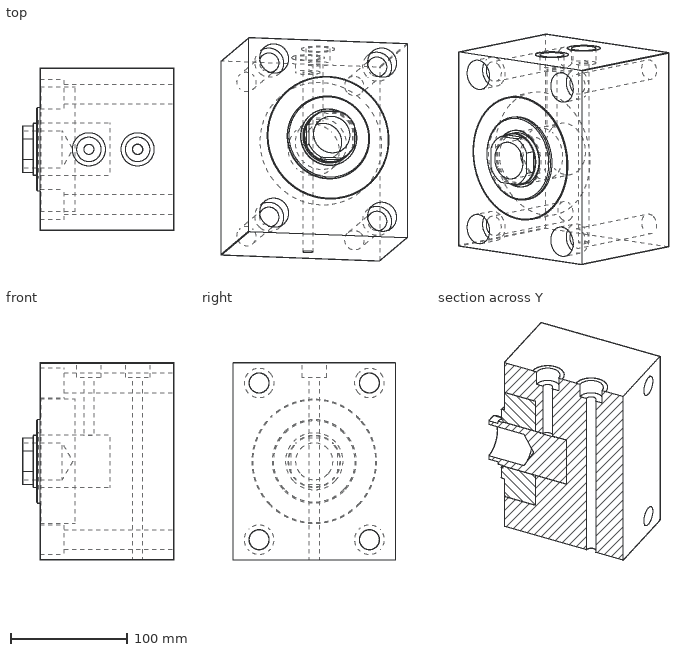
import cadquery as cq

BLOCK_LENGTH = 115.1
BLOCK_WIDTH = 140.0
BLOCK_HEIGHT = 170.0
BLOCK_CHAMFER = 0.5

BOLT_SPACING_Y = 95.0
BOLT_SPACING_Z = 135.0
BOLT_DIAMETER = 17.0
BOLT_HEAD_DIAMETER = 25.5
BOLT_HEAD_DEPTH = 20.4

FRONT_PORT_X = 42.0
REAR_PORT_X = 84.0
PORT_FACE_DIAMETER = 28.5
PORT_FACE_DEPTH = 0.2
PORT_THREAD_DIAMETER = 21.0
PORT_THREAD_DEPTH = 13.0
PORT_DRILL_DIAMETER = 8.7

GLAND_DIAMETER = 107.3
GLAND_DEPTH = 30.0
GLAND_CHAMFER = 0.7
BOSS_DIAMETER = 72.2
BOSS_HEIGHT = 3.0
BOSS_CHAMFER = 1.0
WIPER_DIAMETER = 49.3
WIPER_DEPTH = 1.7

ROD_DIAMETER = 45.0
ROD_PROJECTION = 15.0
ROD_INSIDE_LENGTH = 60.0
ROD_STEP_CHAMFER = 0.5
FLATS_LENGTH = 8.8
FLATS_WIDTH = 40.3
ROD_HOLE_DIAMETER = 32.0
ROD_HOLE_DEPTH = 34.0
ROD_HOLE_TIP_LENGTH = 9.2


def x_cylinder(diameter, x_start, x_end):
    """Cylinder on the main axis between two X positions."""
    return cq.Workplane("YZ", origin=(x_start, 0, 0)).circle(diameter / 2).extrude(x_end - x_start)


def top_hole(x, diameter, depth):
    """Cutter for a vertical hole sunk from the top face."""
    top = cq.Workplane("XY", origin=(x, 0, BLOCK_HEIGHT / 2))
    return top.circle(diameter / 2).extrude(-depth)


def bolt_cutter(diameter, depth):
    """Cutter for the four mounting holes, sunk from the front face."""
    front = cq.Workplane("YZ").rect(BOLT_SPACING_Y, BOLT_SPACING_Z, forConstruction=True)
    return front.vertices().circle(diameter / 2).extrude(depth)


def port_cutter(x, drill_depth):
    """Spot face, thread bore and oil drilling of one port."""
    cutter = top_hole(x, PORT_FACE_DIAMETER, PORT_FACE_DEPTH)
    cutter = cutter.union(top_hole(x, PORT_THREAD_DIAMETER, PORT_THREAD_DEPTH))
    return cutter.union(top_hole(x, PORT_DRILL_DIAMETER, drill_depth))


def make_block():
    block = cq.Workplane("YZ").rect(BLOCK_WIDTH, BLOCK_HEIGHT).extrude(BLOCK_LENGTH)
    block = block.edges("|X").chamfer(BLOCK_CHAMFER)
    block = block.cut(bolt_cutter(BOLT_DIAMETER, BLOCK_LENGTH))
    block = block.cut(bolt_cutter(BOLT_HEAD_DIAMETER, BOLT_HEAD_DEPTH))
    block = block.cut(port_cutter(FRONT_PORT_X, BLOCK_HEIGHT / 2))
    block = block.cut(port_cutter(REAR_PORT_X, BLOCK_HEIGHT))
    block = block.cut(x_cylinder(GLAND_DIAMETER, 0, GLAND_DEPTH))
    return block.cut(x_cylinder(ROD_DIAMETER, 0, ROD_INSIDE_LENGTH))


def make_gland():
    flange = x_cylinder(GLAND_DIAMETER, 0, GLAND_DEPTH).faces("<X").chamfer(GLAND_CHAMFER)
    boss = x_cylinder(BOSS_DIAMETER, -BOSS_HEIGHT, 0).faces("<X").chamfer(BOSS_CHAMFER)
    gland = flange.union(boss)
    gland = gland.cut(x_cylinder(ROD_DIAMETER, -BOSS_HEIGHT, GLAND_DEPTH))
    return gland.cut(x_cylinder(WIPER_DIAMETER, -BOSS_HEIGHT, WIPER_DEPTH - BOSS_HEIGHT))


def make_rod():
    shoulder_x = FLATS_LENGTH - ROD_PROJECTION
    shaft = x_cylinder(ROD_DIAMETER, shoulder_x, ROD_INSIDE_LENGTH)
    shaft = shaft.faces("<X").chamfer(ROD_STEP_CHAMFER)
    end_diameter = ROD_DIAMETER - 2 * ROD_STEP_CHAMFER
    square = cq.Workplane("YZ", origin=(-ROD_PROJECTION, 0, 0)).rect(FLATS_WIDTH, FLATS_WIDTH)
    wrench_end = square.extrude(FLATS_LENGTH)
    wrench_end = wrench_end.intersect(x_cylinder(end_diameter, -ROD_PROJECTION, shoulder_x))
    return shaft.union(wrench_end).cut(rod_hole())


def rod_hole():
    """Blind hole with a conical drill tip, as a half profile turned about X."""
    bottom_x = ROD_HOLE_DEPTH - ROD_PROJECTION
    profile = (
        cq.Workplane("XY")
        .moveTo(-ROD_PROJECTION, 0)
        .lineTo(-ROD_PROJECTION, ROD_HOLE_DIAMETER / 2)
        .lineTo(bottom_x, ROD_HOLE_DIAMETER / 2)
        .lineTo(bottom_x + ROD_HOLE_TIP_LENGTH, 0)
        .close()
    )
    return profile.revolve(360, (0, 0, 0), (1, 0, 0))


block = make_block()
gland = make_gland()
rod = make_rod()

result = cq.Compound.makeCompound([block.val(), gland.val(), rod.val()])